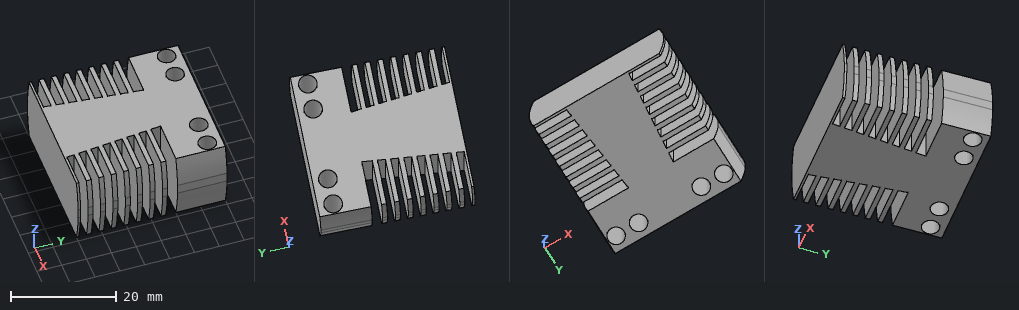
import cadquery as cq
import math

length = 30.0
width = 30.0
height = 15.0
flat_width = 28.0
strip_height = 2.15
strip_bottom = (height - strip_height) / 2
strip_top = height - strip_bottom

bulge_depth = (width - flat_width) / 2
centre_to_flat_edge = ((height**2 - strip_height**2) / 4 - bulge_depth**2) / (2 * bulge_depth)
bulge_radius = math.hypot(centre_to_flat_edge, height / 2)

block_length = length / 3
block_front_y = length - block_length

core_back_width = 10.0
core_front_width = 14.0

fin_count = 8
slot_width = 1.5
first_fin_setback = 12.0
fin_room = length - first_fin_setback
slots_between_fins = fin_count - 1
fin_thickness = (fin_room - slots_between_fins * slot_width) / (fin_count - 0.5)
fin_pitch = fin_thickness + slot_width

hole_diameter = 3.5
hole_setback = 3.0
inner_hole_x = 7.0
outer_hole_x = 12.0


def bulged_body():
    """Full-length bar with flat top and bottom, and bulged sides trimmed to a flat strip."""
    right_half = (
        cq.Workplane("XZ")
        .lineTo(flat_width / 2, 0)
        .radiusArc((width / 2, strip_bottom), -bulge_radius)
        .lineTo(width / 2, strip_top)
        .radiusArc((flat_width / 2, height), -bulge_radius)
        .lineTo(0, height)
        .close()
        .extrude(-length)
    )
    return right_half.union(right_half.mirror("YZ"))


def core_half_width(y):
    """Half width of the core, widening evenly from the block to the front face."""
    taper = (core_front_width - core_back_width) / 2
    return core_front_width / 2 - taper * y / block_front_y


def slot_pair(back_y, front_y):
    """Slots on both sides, from the core outwards and through the full height."""
    right_slot = (
        cq.Workplane("XY")
        .moveTo(core_half_width(back_y), back_y)
        .lineTo(width, back_y)
        .lineTo(width, front_y)
        .lineTo(core_half_width(front_y), front_y)
        .close()
        .extrude(height)
    )
    return right_slot.union(right_slot.mirror("YZ"))


body = bulged_body()

slot_back_y = block_front_y
for fin in range(fin_count):
    fin_back_y = length - first_fin_setback - fin * fin_pitch
    body = body.cut(slot_pair(slot_back_y, fin_back_y))
    slot_back_y = fin_back_y - fin_thickness

hole_y = length - hole_setback
hole_centres = [(side * x, hole_y) for side in (-1, 1) for x in (inner_hole_x, outer_hole_x)]
holes = cq.Workplane("XY").pushPoints(hole_centres).circle(hole_diameter / 2).extrude(height)

result = body.cut(holes)